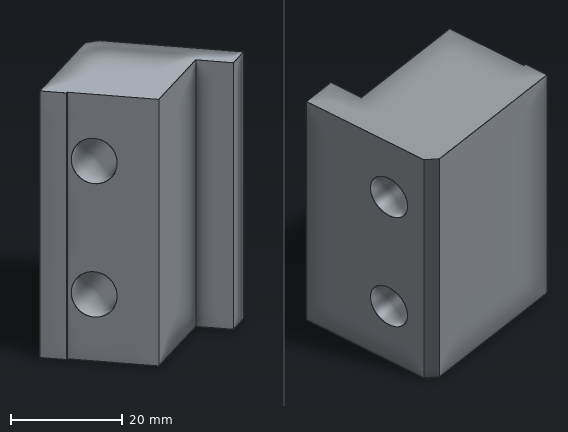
import cadquery as cq

width = 29.0
depth = 33.0
height = 50.0

body_width = 22.0
flange_thickness = 7.1
lip_width = 5.0
lip_height = 0.5
corner_chamfer = 2.0

hole_diameter = 8.5
hole_x = 10.0
hole_spacing = height / 2

section = [
    (0, 0),
    (lip_width, 0),
    (lip_width, lip_height),
    (body_width, lip_height),
    (body_width, depth - flange_thickness),
    (width, depth - flange_thickness),
    (width, depth),
    (corner_chamfer, depth),
    (0, depth - corner_chamfer),
]
body = cq.Workplane("XY").polyline(section).close().extrude(height)

hole_heights = [height / 2 + side * hole_spacing / 2 for side in (-1, 1)]
holes = (
    cq.Workplane("XZ")
    .pushPoints([(hole_x, z) for z in hole_heights])
    .circle(hole_diameter / 2)
    .extrude(-depth)
)

result = body.cut(holes)